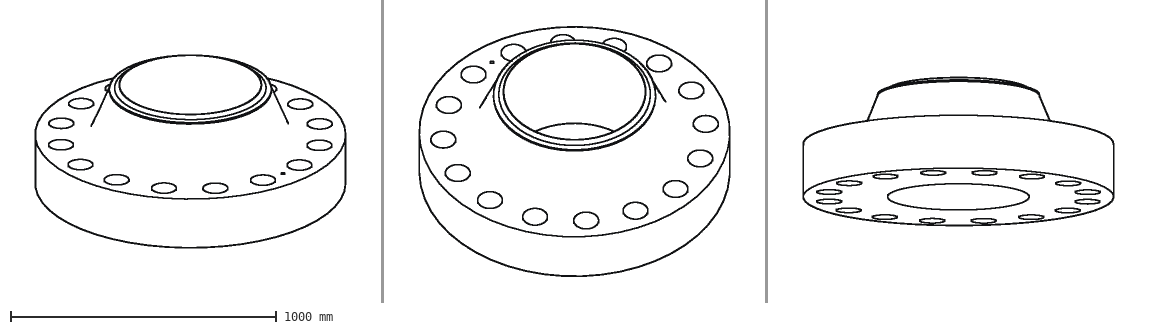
import cadquery as cq
import math

flange_diameter = 1168.0
flange_radius = flange_diameter / 2
flange_thickness = 202.0
total_height = 406.0
bore_radius = 266.0

hub_base_radius = 381.0
hub_end_radius = 305.0
hub_end_height = 384.0
hub_base_fillet = 4.0

land_width = 1.8
land_radius = bore_radius + land_width
bevel_break_radius = 285.0
inner_bevel_angle = 37.5
outer_bevel_angle = 10.0

bolt_count = 16
bolt_circle_radius = 495.0
bolt_hole_diameter = 93.0

pin_hole_diameter = 13.0
pin_hole_depth = 23.0
pin_hole_angle = 360 / bolt_count / 2


def bevel_drop(inner_radius, outer_radius, angle):
    """Height lost along a bevel inclined by angle degrees to the end face."""
    return (outer_radius - inner_radius) * math.tan(math.radians(angle))


def make_body():
    """Revolve the half section of the flange ring, hub and bore."""
    break_height = total_height - bevel_drop(land_radius, bevel_break_radius, inner_bevel_angle)
    rim_height = break_height - bevel_drop(bevel_break_radius, hub_end_radius, outer_bevel_angle)
    half_section = [
        (bore_radius, 0),
        (flange_radius, 0),
        (flange_radius, flange_thickness),
        (hub_base_radius, flange_thickness),
        (hub_end_radius, hub_end_height),
        (hub_end_radius, rim_height),
        (bevel_break_radius, break_height),
        (land_radius, total_height),
        (bore_radius, total_height),
    ]
    body = cq.Workplane("XZ").polyline(half_section).close().revolve(360, (0, 0), (0, 1))
    second_largest = cq.selectors.RadiusNthSelector(-2)
    return body.edges("%CIRCLE").edges(second_largest).fillet(hub_base_fillet)


def make_bolt_holes():
    """Ring of through holes, the first one on the X axis."""
    return (
        cq.Workplane("XY")
        .polarArray(bolt_circle_radius, 0, 360, bolt_count)
        .circle(bolt_hole_diameter / 2)
        .extrude(flange_thickness)
    )


def make_pin_hole():
    """Blind hole on the bolt circle, sunk from the hub side of the flange."""
    return (
        cq.Workplane("XY", origin=(0, 0, flange_thickness))
        .center(
            bolt_circle_radius * math.cos(math.radians(pin_hole_angle)),
            bolt_circle_radius * math.sin(math.radians(pin_hole_angle)),
        )
        .circle(pin_hole_diameter / 2)
        .extrude(-pin_hole_depth)
    )


result = make_body().cut(make_bolt_holes()).cut(make_pin_hole())